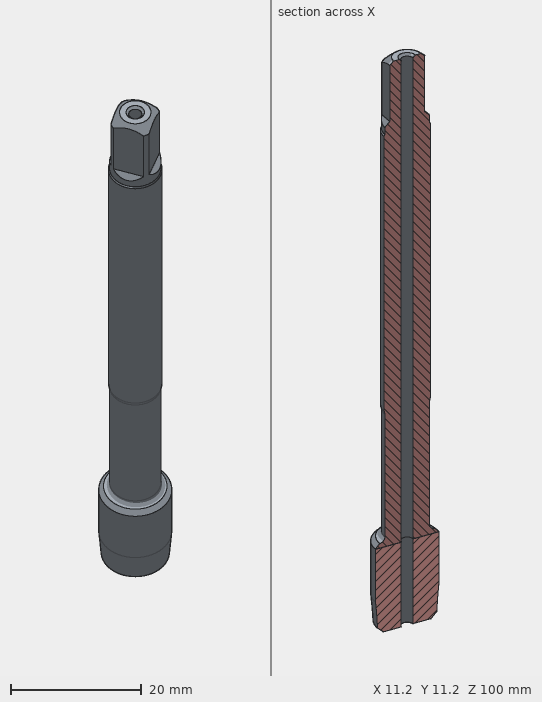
import cadquery as cq
import math

total_length = 100.0
tip_chamfer_height = 1.0
lead_top = 5.7
thread_top = 15.0
shoulder_height = 0.8
neck_fillet = 0.9
neck_top = 38.3
shank_top = 87.2
neck_step_height = 0.6
drive_step_height = 0.3
ramp_bottom = 88.7
square_chamfer_height = 1.3

thread_diameter = 11.2
lead_diameter = 10.5
tip_diameter = 8.4
neck_diameter = 7.9
shank_diameter = 8.2
square_top_diameter = 4.8
bore_diameter = 2.0
bore_mouth_diameter = 2.8

square_width = 6.2

thread_radius = thread_diameter / 2
lead_radius = lead_diameter / 2
tip_radius = tip_diameter / 2
neck_radius = neck_diameter / 2
shank_radius = shank_diameter / 2
square_half = square_width / 2
bore_radius = bore_diameter / 2
bore_mouth_radius = bore_mouth_diameter / 2


def revolve_outline(outline):
    """Revolve a closed outline of radius and height about the Z axis."""
    return outline.close().revolve(360, (0, 0, 0), (0, 1, 0))


def make_cutting_head():
    """Threaded head with a tapered lead and a chamfered tip."""
    outline = cq.Workplane("XZ").polyline([
        (bore_radius, 0),
        (tip_radius, 0),
        (lead_radius, tip_chamfer_height),
        (thread_radius, lead_top),
        (thread_radius, thread_top),
        (bore_radius, thread_top),
    ])
    return revolve_outline(outline)


def make_turned_shank():
    """Conical shoulder, filleted neck, shank and drive end around the bore."""
    mouth_depth = bore_mouth_radius - bore_radius
    shoulder_top = thread_top + shoulder_height
    fillet_foot_radius = neck_radius + neck_fillet
    fillet_top = shoulder_top + neck_fillet
    arc_inset = neck_fillet * math.sqrt(0.5)
    arc_middle = (fillet_foot_radius - arc_inset, fillet_top - arc_inset)
    outline = (
        cq.Workplane("XZ")
        .moveTo(bore_radius, thread_top)
        .lineTo(thread_radius, thread_top)
        .lineTo(fillet_foot_radius, shoulder_top)
        .threePointArc(arc_middle, (neck_radius, fillet_top))
        .lineTo(neck_radius, neck_top)
        .lineTo(shank_radius, neck_top + neck_step_height)
        .lineTo(shank_radius, shank_top)
        .lineTo(neck_radius, shank_top + drive_step_height)
        .lineTo(neck_radius, total_length - square_chamfer_height)
        .lineTo(square_top_diameter / 2, total_length)
        .lineTo(bore_mouth_radius, total_length)
        .lineTo(bore_radius, total_length - mouth_depth)
    )
    return revolve_outline(outline)


def make_flat_cutter():
    """Cutter for one side of the square, with a 45 degree ramp at its foot."""
    outer = thread_radius
    ramp_foot = ramp_bottom - (outer - neck_radius)
    ramp_top = ramp_bottom + (neck_radius - square_half)
    return (
        cq.Workplane("XZ")
        .polyline([
            (square_half, ramp_top),
            (outer, ramp_foot),
            (outer, total_length),
            (square_half, total_length),
        ])
        .close()
        .extrude(thread_radius, both=True)
    )


def make_shank():
    """Turned shank with four flats forming the driving square."""
    shank = make_turned_shank()
    for side in range(4):
        shank = shank.cut(make_flat_cutter().rotate((0, 0, 0), (0, 0, 1), 90 * side))
    return shank


cutting_head = make_cutting_head()
shank = make_shank()
result = cq.Compound.makeCompound([cutting_head.val(), shank.val()])